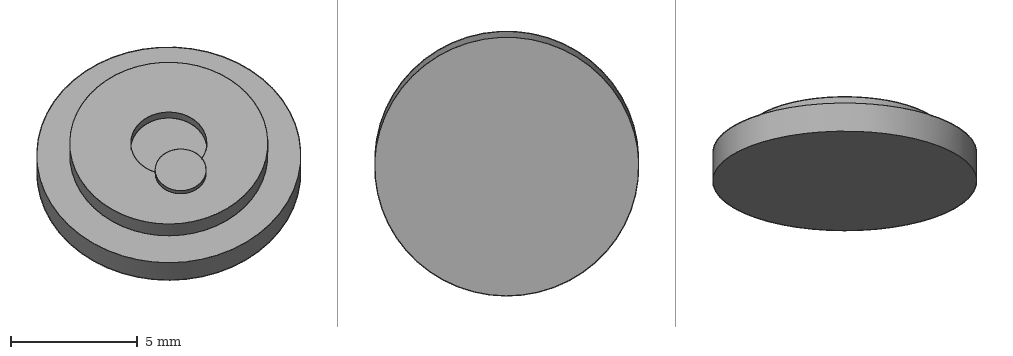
import cadquery as cq

base_diameter = 10.4
base_height = 1.2
step_diameter = 7.8
step_height = 0.8
step_top = base_height + step_height

pocket_diameter = 3.0
pocket_depth = 0.41
pocket_floor = step_top - pocket_depth

pin_diameter = 2.01
pin_x = 1.18
pin_y = -0.95
pin_projection = 0.21


def disc(diameter, bottom, height, x=0, y=0):
    """Upright cylinder whose lower face is at the given height."""
    return cq.Workplane("XY", origin=(x, y, bottom)).circle(diameter / 2).extrude(height)


base = disc(base_diameter, 0, base_height)
step = disc(step_diameter, base_height, step_height)
pocket = disc(pocket_diameter, pocket_floor, pocket_depth)
pin = disc(pin_diameter, pocket_floor, pocket_depth + pin_projection, pin_x, pin_y)

result = base.union(step).cut(pocket).union(pin)